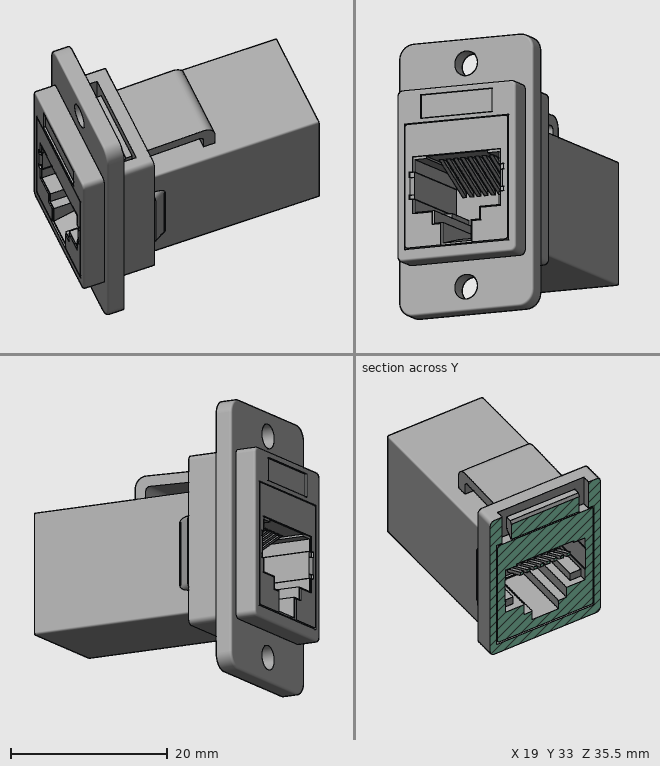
import cadquery as cq
import math

EMBED = 0.18

PLATE_WIDTH = 19.0
PLATE_HEIGHT = 35.5
PLATE_FRONT = 2.88
PLATE_BACK = 5.15
PLATE_CORNER = 2.0
SCREW_DIAMETER = 3.2
SCREW_OFFSET = 14.55
EDGE_ROUND = 0.3

FRAME_WIDTH = 16.75
FRAME_HEIGHT = 22.3
FRAME_BACK = 9.8
FRAME_CORNER = 0.7
LABEL_WIDTH = 10.08
LABEL_BOTTOM = 7.3
LABEL_TOP = 10.35
LABEL_DEPTH = 0.3
LATCH_SLOT_WIDTH = 13.05
LATCH_SLOT_BACK = 8.02

BODY_WIDTH = 14.5
BODY_LENGTH = 33
BODY_TOP = 6.65
BODY_BOTTOM = -9.45
WINDOW_GAP = 0.1
WINDOW_GAP_BELOW = 0.18
FOOT_WIDTH = 8.1

LATCH_WIDTH = 10.33
LATCH_THICKNESS = 1.42
LATCH_BACK = 19.45
LATCH_LEG = 1.55
LATCH_PEAK = 10.1
LATCH_SLOPE = math.tan(math.radians(1.7))
LATCH_OUTER_ROUND = 1.6
LATCH_INNER_ROUND = 0.6
RAMP_TOP = 7.17
RAMP_BOTTOM = 5.2

LUG_BACK = 11.7
LUG_SHOULDER = 10.05
LUG_LIP_LENGTH = 0.2
LUG_REACH = 8.2
LUG_TOP = 3.48
LUG_BOTTOM = -6.35
LUG_ROUND = 0.78

RIM_DEPTH = 0.18
RIM_SIDE = 0.25
RIM_BELOW = 0.15
RIM_NOTCH = 0.25
RIM_TOP = 0.35
MOUTH_WIDTH = 12.42
MOUTH_TOP = 2.38
MOUTH_BOTTOM = -5.0
KEY_WIDTH = 6.9
KEY_BOTTOM = -6.65
NOTCH_WIDTH = 4.47
CAVITY_DEPTH = 12.78
CEILING_GROOVE_WIDTH = 8.63
CEILING_GROOVE_TOP = 2.3
NOTCH_RAMP_LENGTH = 4.72
NOTCH_BACK_FLOOR = -7.88
CORNER_BLOCK_TOP = -3.73
CORNER_BLOCK_FRONT = 7.8
LEDGE_TOP = -4.65
LEDGE_LENGTH = 0.35

SIDE_SLOT_REACH = 6.67
SIDE_SLOT_TOP = 0.43
SIDE_SLOT_BOTTOM = -3.12
SIDE_SLOT_DEPTH = 0.3
SIDE_GROOVE_REACH = 6.07
TAB_REACH = 6.53
TAB_TOP = -0.3
TAB_BOTTOM = -2.55

CONTACT_COUNT = 8
CONTACT_ROW = 7.05
CONTACT_PITCH = CONTACT_ROW / (CONTACT_COUNT - 1)
CONTACT_WIDTH = 0.55
CONTACT_THICKNESS = 0.55
CONTACT_FRONT = 2.85
CONTACT_BACK = 9.95
CONTACT_TIP = -1.35


def block(x_range, y_range, z_range):
    """Box between the given limits on each axis."""
    limits = (x_range, y_range, z_range)
    sizes = [high - low for low, high in limits]
    corner = cq.Vector(*[low for low, high in limits])
    return cq.Workplane(obj=cq.Solid.makeBox(*sizes, pnt=corner))


def centred_block(width, y_range, z_range):
    """Box that is symmetric about X = 0."""
    return block((-width / 2, width / 2), y_range, z_range)


def side_profile(points, width, x_centre=0):
    """Extrude a (Y, Z) outline along X, symmetric about x_centre."""
    plane = cq.Workplane("YZ", origin=(x_centre, 0, 0))
    return plane.polyline(points).close().extrude(width / 2, both=True)


def both_sides(shape):
    return shape.union(shape.mirror("YZ"))


def make_plate():
    plate = centred_block(PLATE_WIDTH, (PLATE_FRONT, PLATE_BACK), (-PLATE_HEIGHT / 2, PLATE_HEIGHT / 2))
    plate = plate.edges("|Y").fillet(PLATE_CORNER)
    plate = plate.faces("<Y").edges().fillet(EDGE_ROUND)
    for z in (-SCREW_OFFSET, SCREW_OFFSET):
        hole = cq.Workplane("XZ", origin=(0, 0, z)).circle(SCREW_DIAMETER / 2).extrude(-PLATE_BACK)
        plate = plate.cut(hole)
    return plate


def make_frame():
    frame = centred_block(FRAME_WIDTH, (0, FRAME_BACK), (-FRAME_HEIGHT / 2, FRAME_HEIGHT / 2))
    frame = frame.edges("|Y").fillet(FRAME_CORNER)
    frame = frame.faces("<Y").edges().fillet(EDGE_ROUND)
    frame = frame.union(make_plate())
    label = centred_block(LABEL_WIDTH, (0, LABEL_DEPTH), (LABEL_BOTTOM, LABEL_TOP))
    window_width = BODY_WIDTH + 2 * WINDOW_GAP
    window_z = (BODY_BOTTOM - WINDOW_GAP_BELOW, BODY_TOP + WINDOW_GAP)
    window = centred_block(window_width, (0, FRAME_BACK), window_z)
    slot = centred_block(LATCH_SLOT_WIDTH, (PLATE_BACK, LATCH_SLOT_BACK), (BODY_TOP, FRAME_HEIGHT / 2))
    return frame.cut(label).cut(window).cut(slot)


def make_latch():
    """Arm that rises from a front ramp, crosses the frame and hooks down to the body."""
    def arm_top(y):
        return LATCH_PEAK - LATCH_SLOPE * (LATCH_BACK - y)

    root = BODY_TOP - EMBED
    leg_front = LATCH_BACK - LATCH_LEG
    ramp_back = RAMP_TOP + LATCH_THICKNESS
    outer_corner = (LATCH_BACK, LATCH_PEAK)
    inner_corner = (leg_front, arm_top(leg_front) - LATCH_THICKNESS)
    outline = [
        (RAMP_BOTTOM, root),
        (RAMP_TOP, arm_top(RAMP_TOP)),
        outer_corner,
        (LATCH_BACK, root),
        (leg_front, root),
        inner_corner,
        (ramp_back, arm_top(ramp_back) - LATCH_THICKNESS),
        (RAMP_BOTTOM + LATCH_THICKNESS, root),
    ]
    latch = side_profile(outline, LATCH_WIDTH)
    for corner, radius in ((outer_corner, LATCH_OUTER_ROUND), (inner_corner, LATCH_INNER_ROUND)):
        edge = cq.selectors.NearestToPointSelector((0, *corner))
        latch = latch.edges(edge).fillet(radius)
    return latch


def make_lugs():
    """Wedges behind the frame with rounded ends and a flat lip along the thin edge."""
    side = BODY_WIDTH / 2
    lug_front = FRAME_BACK - EMBED
    face = [(side, LUG_BACK), (LUG_REACH, LUG_SHOULDER), (LUG_REACH, lug_front)]
    outline = [(side - EMBED, lug_front), (side - EMBED, LUG_BACK)] + face
    wedge = cq.Workplane("XY", origin=(0, 0, LUG_BOTTOM)).polyline(outline).close()
    wedge = wedge.extrude(LUG_TOP - LUG_BOTTOM)
    end_edges = []
    for (x1, y1), (x2, y2) in zip(face, face[1:]):
        for z in (LUG_BOTTOM, LUG_TOP):
            middle = ((x1 + x2) / 2, (y1 + y2) / 2, z)
            end_edges += wedge.edges(cq.selectors.NearestToPointSelector(middle)).vals()
    rounded_wedge = cq.Workplane(obj=wedge.val().fillet(LUG_ROUND, end_edges))

    lip_height = LUG_LIP_LENGTH * (LUG_REACH - side) / (LUG_BACK - LUG_SHOULDER)
    lip = block(
        (side - EMBED, side + lip_height),
        (LUG_BACK - LUG_LIP_LENGTH, LUG_BACK),
        (LUG_BOTTOM + LUG_ROUND, LUG_TOP - LUG_ROUND),
    )
    return both_sides(rounded_wedge.union(lip))


def make_cavity():
    """Stepped jack opening with a recessed rim, ceiling groove and latch notch."""
    mouth = [
        (MOUTH_WIDTH / 2, MOUTH_TOP),
        (MOUTH_WIDTH / 2, MOUTH_BOTTOM),
        (KEY_WIDTH / 2, MOUTH_BOTTOM),
        (KEY_WIDTH / 2, KEY_BOTTOM),
        (NOTCH_WIDTH / 2, KEY_BOTTOM),
        (NOTCH_WIDTH / 2, BODY_BOTTOM),
    ]
    mouth += [(-x, z) for x, z in reversed(mouth)]
    rim = cq.Workplane("XZ").polyline(mouth).close().extrude(-RIM_DEPTH)

    main_floor = MOUTH_BOTTOM + RIM_BELOW
    key_floor = KEY_BOTTOM + RIM_BELOW
    ceiling = MOUTH_TOP - RIM_TOP
    inner_width = MOUTH_WIDTH - 2 * RIM_SIDE
    main = centred_block(inner_width, (0, CAVITY_DEPTH), (main_floor, ceiling))
    groove = centred_block(CEILING_GROOVE_WIDTH, (0, CAVITY_DEPTH), (main_floor, CEILING_GROOVE_TOP))
    key = centred_block(KEY_WIDTH - 2 * RIM_SIDE, (0, BODY_LENGTH), (key_floor, main_floor))
    notch_floor = BODY_BOTTOM + RIM_NOTCH
    notch = side_profile(
        [
            (RIM_DEPTH, notch_floor),
            (RIM_DEPTH + NOTCH_RAMP_LENGTH, NOTCH_BACK_FLOOR),
            (BODY_LENGTH, NOTCH_BACK_FLOOR),
            (BODY_LENGTH, key_floor),
            (RIM_DEPTH, key_floor),
        ],
        NOTCH_WIDTH - 2 * RIM_SIDE,
    )
    corner_block = block(
        (CEILING_GROOVE_WIDTH / 2, inner_width / 2),
        (CORNER_BLOCK_FRONT, CAVITY_DEPTH),
        (main_floor, CORNER_BLOCK_TOP),
    )
    ledge = centred_block(
        CEILING_GROOVE_WIDTH, (CAVITY_DEPTH - LEDGE_LENGTH, CAVITY_DEPTH), (main_floor, LEDGE_TOP)
    )
    cavity = main.union(groove).cut(both_sides(corner_block)).cut(ledge)
    return cavity.union(key).union(notch).union(rim)


def make_side_slots():
    """Shallow slots that narrow to a groove in the cavity wall, less a slanted tab in each."""
    slot_z = (SIDE_SLOT_BOTTOM, SIDE_SLOT_TOP)
    slot = block((0, SIDE_SLOT_REACH), (0, SIDE_SLOT_DEPTH), slot_z)
    groove = block((0, SIDE_GROOVE_REACH), (0, CAVITY_DEPTH), slot_z)
    tab_outline = [
        (TAB_REACH, 0),
        (SIDE_SLOT_REACH, 0),
        (SIDE_SLOT_REACH, SIDE_SLOT_DEPTH),
        (SIDE_GROOVE_REACH, SIDE_SLOT_DEPTH),
    ]
    tab = cq.Workplane("XY", origin=(0, 0, TAB_BOTTOM)).polyline(tab_outline).close()
    tab = tab.extrude(TAB_TOP - TAB_BOTTOM)
    return both_sides(slot.cut(tab).union(groove))


def make_contacts():
    """Row of wires sloping back and down from the cavity ceiling."""
    root = CEILING_GROOVE_TOP
    outline = [
        (CONTACT_FRONT, root),
        (CONTACT_BACK, CONTACT_TIP),
        (CONTACT_BACK, CONTACT_TIP + CONTACT_THICKNESS),
        (CONTACT_FRONT, root + CONTACT_THICKNESS),
    ]
    contacts = cq.Workplane()
    for index in range(CONTACT_COUNT):
        x = index * CONTACT_PITCH - CONTACT_ROW / 2
        contacts = contacts.add(side_profile(outline, CONTACT_WIDTH, x))
    return contacts.combine()


def make_body():
    body = centred_block(BODY_WIDTH, (0, BODY_LENGTH), (BODY_BOTTOM, BODY_TOP))
    body = body.edges("|Y").fillet(EDGE_ROUND)
    body = body.cut(make_cavity()).cut(make_side_slots())
    foot = centred_block(
        FOOT_WIDTH, (LATCH_SLOT_BACK, FRAME_BACK), (BODY_BOTTOM - WINDOW_GAP_BELOW, BODY_BOTTOM + EMBED)
    )
    return body.union(make_contacts()).union(foot)


result = make_body().union(make_frame()).union(make_latch()).union(make_lugs())